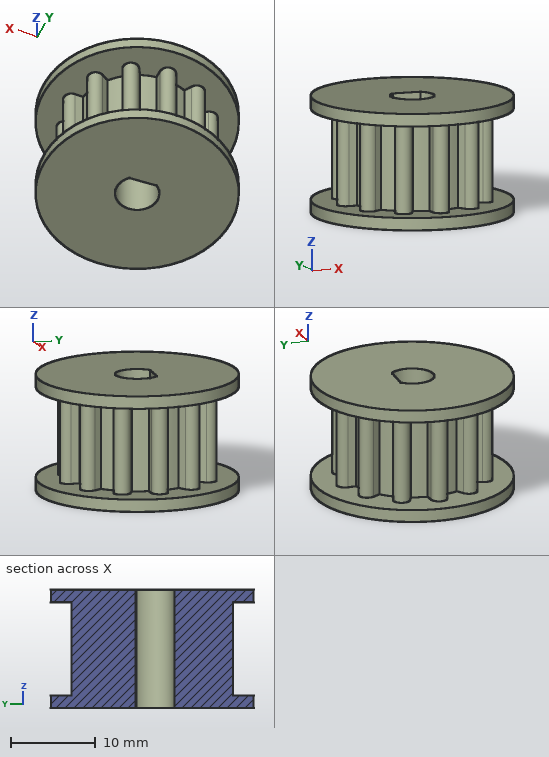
import cadquery as cq
import math

flange_diameter = 24.0
total_height = 14.0
belt_width = 11.0
flange_thickness = (total_height - belt_width) / 2

tooth_count = 12
root_radius = 7.55
tip_radius = 9.55
tooth_width = 2.0
tip_round_radius = tooth_width / 2

bore_diameter = 5.23
bore_flat_distance = 1.97
bore_flat_tilt = -4.3


def make_flange(bottom_z):
    return (
        cq.Workplane("XY", origin=(0, 0, bottom_z))
        .circle(flange_diameter / 2)
        .extrude(flange_thickness)
    )


def make_tooth(angle):
    """Radial tooth with parallel flanks and a half-round tip."""
    half_width = tooth_width / 2
    return (
        cq.Workplane("XY", origin=(0, 0, flange_thickness))
        .moveTo(0, -half_width)
        .lineTo(tip_radius - tip_round_radius, -half_width)
        .threePointArc((tip_radius, 0), (tip_radius - tip_round_radius, half_width))
        .lineTo(0, half_width)
        .close()
        .extrude(belt_width)
        .rotate((0, 0, 0), (0, 0, 1), angle)
    )


def make_bore():
    """Through bore with one flat on its +Y side, slightly turned about Z."""
    radius = bore_diameter / 2
    half_flat = math.sqrt(radius**2 - bore_flat_distance**2)
    return (
        cq.Workplane("XY")
        .moveTo(-half_flat, bore_flat_distance)
        .threePointArc((0, -radius), (half_flat, bore_flat_distance))
        .close()
        .extrude(total_height)
        .rotate((0, 0, 0), (0, 0, 1), bore_flat_tilt)
    )


pulley = cq.Workplane("XY").circle(root_radius).extrude(total_height)
for index in range(tooth_count):
    pulley = pulley.union(make_tooth(index * 360 / tooth_count))

for bottom_z in (0, total_height - flange_thickness):
    pulley = pulley.union(make_flange(bottom_z))

result = pulley.cut(make_bore())